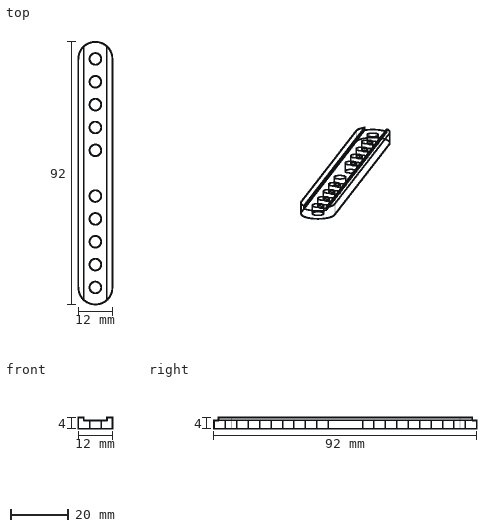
import cadquery as cq

bar_width = 12.0
bar_thickness = 4.0
hole_diameter = 4.0
hole_pitch = 8.0
holes_per_side = 5
channel_width = 8.0
channel_depth = 1.0

outer_hole_offset = holes_per_side * hole_pitch
bar_length = 2 * outer_hole_offset + bar_width
angle_from_x = 90.0


def make_bar():
    """Flat bar along Y with full-round ends, resting on Z = 0."""
    return cq.Workplane("XY").slot2D(bar_length, bar_width, angle_from_x).extrude(bar_thickness)


def make_channel():
    """Shallow channel running the full length of the top face."""
    floor_height = bar_thickness - channel_depth
    return (
        cq.Workplane("XY")
        .workplane(offset=floor_height)
        .rect(channel_width, bar_length)
        .extrude(channel_depth)
    )


def make_holes():
    """Through holes at equal pitch along the centre line, with none at the middle."""
    centres = []
    for step in range(1, holes_per_side + 1):
        centres.append((0, step * hole_pitch))
        centres.append((0, -step * hole_pitch))
    return cq.Workplane("XY").pushPoints(centres).circle(hole_diameter / 2).extrude(bar_thickness)


result = make_bar().cut(make_channel()).cut(make_holes())